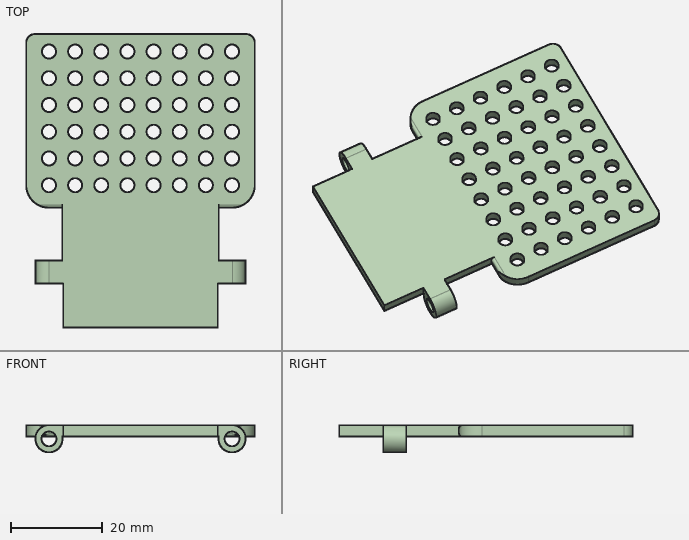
import cadquery as cq
import math

length = 64.2
plate_width = 50.0
thickness = 2.5
plate_front = 26.2
rear_corner_radius = 2.0
front_corner_radius = 5.0

neck_width = 34.3
tip_width = 33.8

lug_diameter = 6.0
lug_bore = 3.2
lug_spacing = 40.0
lug_front = 9.6
lug_length = 5.1

hole_diameter = 3.0
columns = 8
rows = 6
column_pitch = lug_spacing / (columns - 1)
row_pitch = 5.85
first_row = 31.15

edge_radius = 0.7


def box(width, front, back):
    """Flat slab centred on X, resting on Z = 0."""
    return (
        cq.Workplane("XY")
        .box(width, back - front, thickness, centered=(True, False, False))
        .translate((0, front, 0))
    )


def make_plate():
    plate = box(plate_width, plate_front, length)
    plate = plate.edges("|Z and >Y").fillet(rear_corner_radius)
    plate = plate.edges("|Z and <Y").fillet(front_corner_radius)
    return plate.cut(make_edge_cutter())


def make_edge_cutter():
    """Waste outside the rounded front edges, one prism per edge along X."""
    arc_middle = edge_radius * (1 - math.sqrt(0.5))
    prism = (
        cq.Workplane("YZ", origin=(0, plate_front, 0))
        .moveTo(edge_radius, 0)
        .threePointArc((arc_middle, arc_middle), (0, edge_radius))
        .lineTo(0, 0)
        .close()
        .extrude(plate_width / 2, both=True)
    )
    return prism.union(prism.mirror("XY").translate((0, 0, thickness)))


def make_tongue():
    lug_back = lug_front + lug_length
    tip = box(tip_width, 0, lug_back)
    neck = box(neck_width, lug_back, plate_front + front_corner_radius)
    lug_bridge = box(lug_spacing, lug_front, lug_back)
    return tip.union(neck).union(lug_bridge)


def lug_cylinder(side, diameter):
    """Cylinder along Y on a lug axis, with the lug's top level with the plate."""
    return (
        cq.Workplane("XZ", origin=(0, lug_front, 0))
        .center(side * lug_spacing / 2, thickness - lug_diameter / 2)
        .circle(diameter / 2)
        .extrude(-lug_length)
    )


def make_holes():
    grid_center_y = first_row + row_pitch * (rows - 1) / 2
    return (
        cq.Workplane("XY")
        .center(0, grid_center_y)
        .rarray(column_pitch, row_pitch, columns, rows)
        .circle(hole_diameter / 2)
        .extrude(thickness)
    )


result = make_plate().union(make_tongue())
for side in (-1, 1):
    result = result.union(lug_cylinder(side, lug_diameter))
    result = result.cut(lug_cylinder(side, lug_bore))
result = result.cut(make_holes())